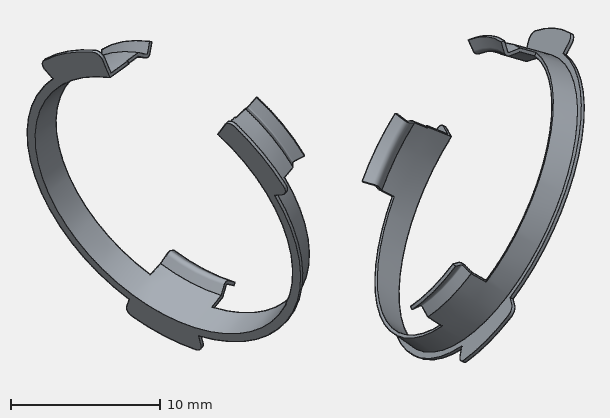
import cadquery as cq
import math

sheet = 0.25
flange_radius = 11.305
tab_radius = 12.7
tab_corner = 0.58
wall_base_radius = 10.89
wall_lean = 8.8
wall_height = 2.02
knee_height = 3.2
tip_height = 4.65
leg_lean = 45.0
outer_bend_radius = 0.1
inner_bend_radius = 0.35
clip_half_angle = 14.3
tab_half_angle = 14.7
upper_clip_angle = 39.4

full_turn = 360
ring_arc = full_turn - 2 * (upper_clip_angle - tab_half_angle)
bottom_clip_angle = 180
side_gap_arc = bottom_clip_angle - upper_clip_angle - 2 * clip_half_angle
side_gap_angle = (bottom_clip_angle + upper_clip_angle) / 2
top_gap_arc = 2 * (upper_clip_angle - clip_half_angle)
clip_angles = (bottom_clip_angle, -upper_clip_angle, upper_clip_angle)


def wall_radius(height):
    """Outer radius of the leaning wall at a height above the flange's front face."""
    return wall_base_radius - height * math.tan(math.radians(wall_lean))


def inner_point(outer_point, lean_before, lean_after):
    """Inner-face point opposite an outer-face corner between two leaning stretches."""
    mid = math.radians((lean_before + lean_after) / 2)
    half_turn = math.radians((lean_after - lean_before) / 2)
    offset = sheet / math.cos(half_turn)
    radius, height = outer_point
    return (radius - offset * math.cos(mid), height - offset * math.sin(mid))


def sweep_around(profile, arc, centre_angle):
    """Revolve a (radius, height) profile about Y, centred on an angle from +Z toward +X."""
    quarter_turn = 90
    solid = profile.revolve(arc, (0, 0, 0), (0, 1, 0))
    start_turn = centre_angle - quarter_turn - arc / 2
    return solid.rotate((0, 0, 0), (0, 1, 0), start_turn)


def flat_profile(outer_radius):
    """Flat strip from the middle of the wall's foot to an outer radius."""
    inner_radius = wall_base_radius - sheet / 2
    return cq.Workplane("XY").polyline(
        [(inner_radius, 0), (outer_radius, 0), (outer_radius, sheet), (inner_radius, sheet)]
    ).close()


def wall_foot():
    """Inner corner of the wall, flush with the flange's front face."""
    return (wall_base_radius - sheet / math.cos(math.radians(wall_lean)), 0)


def make_flange():
    """Flat open ring at the front, ending level with the upper tabs."""
    return sweep_around(flat_profile(flange_radius), ring_arc, bottom_clip_angle)


def make_tab(centre_angle):
    """Flat tab standing out from the flange, with rounded outer corners."""
    tab = sweep_around(flat_profile(tab_radius), 2 * tab_half_angle, 0)
    tab = tab.edges("|Y").edges("<X or >X").fillet(tab_corner)
    return tab.rotate((0, 0, 0), (0, 1, 0), centre_angle)


def bend_points(apex, bend_radius):
    """Start, middle and end of the arc that rounds a V with the given virtual apex."""
    lean = math.radians(leg_lean)
    apex_radius, apex_height = apex
    centre_radius = apex_radius + bend_radius / math.cos(lean)
    tangent_radius = centre_radius - bend_radius * math.cos(lean)
    rise = bend_radius * math.sin(lean)
    lower = (tangent_radius, apex_height - rise)
    middle = (centre_radius - bend_radius, apex_height)
    upper = (tangent_radius, apex_height + rise)
    return lower, middle, upper


def make_clip_band():
    """Wall rising all around the ring into a V that points toward the ring's axis."""
    lean = math.radians(leg_lean)
    knee = (wall_radius(knee_height), knee_height)
    tip_outer_height = tip_height - sheet * math.sin(lean)

    apex_height = (knee_height + tip_outer_height) / 2
    outer_apex = (knee[0] - (apex_height - knee_height) * math.tan(lean), apex_height)
    inner_apex = inner_point(outer_apex, leg_lean, -leg_lean)
    tip = (knee[0], tip_outer_height)

    outer_lower, outer_middle, outer_upper = bend_points(outer_apex, outer_bend_radius)
    inner_lower, inner_middle, inner_upper = bend_points(inner_apex, inner_bend_radius)
    profile = (
        cq.Workplane("XY")
        .moveTo(wall_base_radius, 0)
        .lineTo(*knee)
        .lineTo(*outer_lower)
        .threePointArc(outer_middle, outer_upper)
        .lineTo(*tip)
        .lineTo(*inner_point(tip, -leg_lean, -leg_lean))
        .lineTo(*inner_upper)
        .threePointArc(inner_middle, inner_lower)
        .lineTo(*inner_point(knee, wall_lean, leg_lean))
        .lineTo(*wall_foot())
        .close()
    )
    return sweep_around(profile, ring_arc, bottom_clip_angle)


def make_gap(arc, centre_angle):
    """Cutter that lowers the band to the plain wall, its floor square to the leaning face."""
    lean = math.radians(wall_lean)
    rim_radius = wall_radius(wall_height)
    outer_radius = flange_radius
    inner_radius = rim_radius - knee_height
    top = tip_height + sheet

    def floor_point(radius):
        return (radius, wall_height + (radius - rim_radius) * math.tan(lean))

    profile = cq.Workplane("XY").polyline(
        [floor_point(inner_radius), floor_point(outer_radius), (outer_radius, top), (inner_radius, top)]
    ).close()
    return sweep_around(profile, arc, centre_angle)


result = make_clip_band().cut(make_gap(top_gap_arc, 0))
for side in (-1, 1):
    result = result.cut(make_gap(side_gap_arc, side * side_gap_angle))
result = result.union(make_flange())
for angle in clip_angles:
    result = result.union(make_tab(angle))